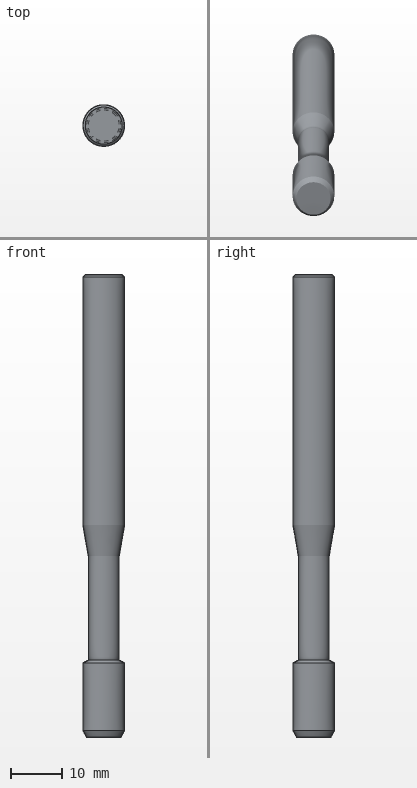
import cadquery as cq

total_length = 90.0
tool_radius = 4.05

head_length = 15.0
tip_chamfer_height = 1.35
tip_chamfer_width = 0.7
shoulder_height = 0.5

neck_diameter = 6.0
neck_radius = neck_diameter / 2
neck_top = 35.3
taper_top = 41.2
shank_chamfer = 0.45


def revolve_profile(outer_points):
    """Spin an outline of (radius, height) points, closed along the Z axis, into a solid."""
    bottom = outer_points[0][1]
    top = outer_points[-1][1]
    outline = [(0, bottom), *outer_points, (0, top)]
    return cq.Workplane("XZ").polyline(outline).close().revolve(360, (0, 0, 0), (0, 1, 0))


def make_cutting_head():
    """Cylinder with a chamfered tip and a sloping shoulder that meets the neck."""
    return revolve_profile([
        (tool_radius - tip_chamfer_width, 0),
        (tool_radius, tip_chamfer_height),
        (tool_radius, head_length - shoulder_height),
        (neck_radius, head_length),
    ])


def make_shank():
    """Slim neck that stands on the head and tapers out to the full-width shank."""
    return revolve_profile([
        (neck_radius, head_length),
        (neck_radius, neck_top),
        (tool_radius, taper_top),
        (tool_radius, total_length - shank_chamfer),
        (tool_radius - shank_chamfer, total_length),
    ])


cutting_head = make_cutting_head()
shank = make_shank()

result = cq.Compound.makeCompound([cutting_head.val(), shank.val()])